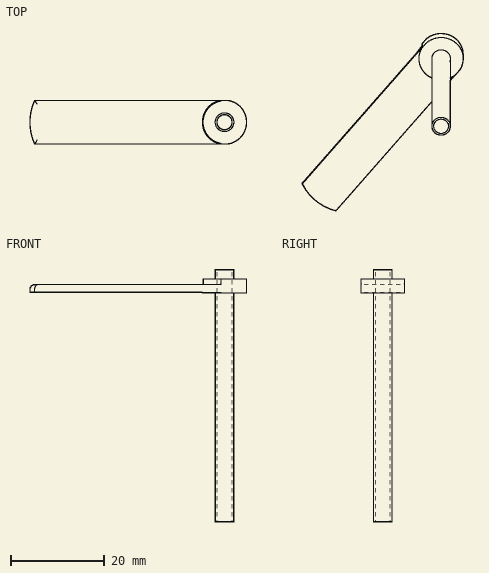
import cadquery as cq
import math

tube_length = 54.0
tube_diameter = 4.0
bore_diameter = 3.2

overall_length = 46.45
arm_width = 9.4
hub_radius = 4.75
hub_height = 3.0
tube_above_hub = 2.0
hub_top = tube_length - tube_above_hub
hub_bottom = hub_top - hub_height

arm_thickness = 1.7
arm_bottom_step = 0.15
arm_bottom = hub_bottom + arm_bottom_step
arm_top = arm_bottom + arm_thickness
half_width = arm_width / 2
tip_x = hub_radius - overall_length
tip_bulge = 1.0
edge_radius = 1.1
neck_radius = 0.15
neck_relief = 0.15

fillet_center_y = half_width - edge_radius
runout_start_x = -math.sqrt(hub_radius**2 - fillet_center_y**2)
runout_end_x = -math.sqrt(hub_radius**2 - half_width**2)
runout_sections = 7
cut_margin = 0.55


def make_neck_cutter():
    """Space around the hub wall above the arm; rounding its inner edges leaves concave rounds."""
    wall_radius = hub_radius - neck_relief
    outer_radius = hub_radius + cut_margin
    height = hub_top - arm_top + cut_margin
    ring = (
        cq.Workplane("XY", origin=(0, 0, arm_top))
        .circle(outer_radius)
        .circle(wall_radius)
        .extrude(height)
    )
    arm_side = cq.Workplane("XY").box(
        2 * hub_radius, 2 * outer_radius, height, centered=(False, True, False)
    ).translate((runout_end_x - 2 * hub_radius, 0, arm_top))
    sector = ring.intersect(arm_side)
    inner_wall = cq.selectors.RadiusNthSelector(0)
    wall_ends = cq.selectors.BoxSelector(
        (runout_end_x - neck_radius, -hub_radius, arm_top),
        (runout_end_x + neck_radius, hub_radius, arm_top + height),
    )
    return (
        sector.edges("|Z")
        .edges(wall_ends)
        .add(sector.faces("<Z").edges(inner_wall))
        .fillet(neck_radius)
    )


def make_hub():
    disc = cq.Workplane("XY", origin=(0, 0, hub_bottom)).circle(hub_radius).extrude(hub_height)
    strip = (
        cq.Workplane("XY", origin=(0, 0, hub_bottom))
        .rect(2 * hub_radius, arm_width)
        .extrude(hub_height)
    )
    return disc.intersect(strip).cut(make_neck_cutter())


def make_arm_blank(end_x):
    """Arm with a bowed tip, rounded along its sides and tip, up to a square end."""
    corner_x = tip_x + tip_bulge
    return (
        cq.Workplane("XY", origin=(0, 0, arm_bottom))
        .moveTo(end_x, -half_width)
        .lineTo(corner_x, -half_width)
        .threePointArc((tip_x, 0), (corner_x, half_width))
        .lineTo(end_x, half_width)
        .close()
        .extrude(arm_thickness)
        .faces(">Z")
        .edges("not >X")
        .fillet(edge_radius)
    )


def runout_section(angle):
    """Space outside the rounded edge where the round meets the hub at this angle above its center."""
    hub_y = fillet_center_y + edge_radius * math.cos(angle)
    x = -math.sqrt(hub_radius**2 - hub_y**2)
    center_z = arm_top - edge_radius * math.sin(angle)
    outer_y = half_width + cut_margin
    upper_z = arm_top + edge_radius + cut_margin
    diagonal = edge_radius * math.sqrt(0.5)
    return (
        cq.Workplane("YZ", origin=(x, 0, 0))
        .moveTo(fillet_center_y, center_z + edge_radius)
        .threePointArc(
            (fillet_center_y + diagonal, center_z + diagonal), (half_width, center_z)
        )
        .lineTo(outer_y, center_z)
        .lineTo(outer_y, upper_z)
        .lineTo(fillet_center_y, upper_z)
        .close()
        .wires()
        .val()
    )


def make_runout_cutter():
    sections = []
    for i in range(runout_sections):
        angle = math.pi / 2 * (1 - i / (runout_sections - 1))
        sections.append(runout_section(angle))
    return cq.Workplane(obj=cq.Solid.makeLoft(sections))


def make_arm():
    straight = make_arm_blank(runout_start_x)
    root = cq.Workplane("XY").box(
        -runout_start_x, arm_width, arm_thickness, centered=(False, True, False)
    ).translate((runout_start_x, 0, arm_bottom))
    cutter = make_runout_cutter()
    root = root.cut(cutter).cut(cutter.mirror("XZ"))
    return straight.union(root)


tube = cq.Workplane("XY").circle(tube_diameter / 2).extrude(tube_length)
bore = cq.Workplane("XY").circle(bore_diameter / 2).extrude(tube_length)

result = make_arm().union(make_hub()).union(tube).cut(bore)